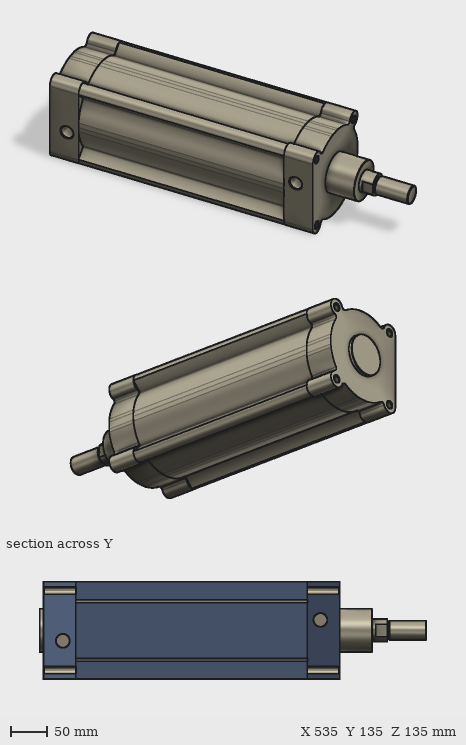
import cadquery as cq
import math


TOTAL_LENGTH = 535.0
CAP_LENGTH = 45.0
BARREL_LENGTH = 320.0
REAR_BOSS_LENGTH = 5.5
FRONT_BOSS_LENGTH = CAP_LENGTH

REAR_CAP_X = REAR_BOSS_LENGTH
BARREL_X = REAR_CAP_X + CAP_LENGTH
FRONT_CAP_X = BARREL_X + BARREL_LENGTH

WIDTH = 135.0
HALF_WIDTH = WIDTH / 2
SIDE_FLAT_HALF_WIDTH = 5.5
SIDE_BLEND_RADIUS = 32.0
CAP_ROUND_RADIUS = SIDE_BLEND_RADIUS + math.hypot(
    SIDE_FLAT_HALF_WIDTH, HALF_WIDTH - SIDE_BLEND_RADIUS
)

BOLT_OFFSET = 55.0
LUG_RADIUS = HALF_WIDTH - BOLT_OFFSET
NECK_RADIUS = 4.55
BOLT_HOLE_DIAMETER = 9.5
BOLT_HOLE_CHAMFER = 1.0
CHAMFER_ANGLE = 90
BOSS_DIAMETER = 60.0
BOSS_CHAMFER = 0.5
PORT_DIAMETER = 18.5
PORT_CHAMFER = 1.0
PORT_DEPTH = 27.0
PORT_INSET = 27.0
PORT_OFFSET = 14.5

BARREL_RADIUS = HALF_WIDTH
RIDGE_HALF_WIDTH = 7.2
RAIL_RADIUS = 13.0
RAIL_FOOT_RADIUS = 1.0

ROD_DIAMETER = 32.0
THREAD_DIAMETER = 27.0
THREAD_LENGTH = 54.0
THREAD_CHAMFER = 1.0
UNDERCUT_LENGTH = 1.5
UNDERCUT_DEPTH = 1.5
WRENCH_WIDTH = THREAD_DIAMETER
WRENCH_LENGTH = 16.0

SHOULDER_X = TOTAL_LENGTH - THREAD_LENGTH

AXIS = (0, 0)


def toward(start, end, distance):
    """Point at the given distance from start, on the line to end."""
    share = distance / math.dist(start, end)
    return (start[0] + (end[0] - start[0]) * share, start[1] + (end[1] - start[1]) * share)


def arc_middle(center, start, end):
    """Middle point of the shorter arc from start to end."""
    chord_middle = ((start[0] + end[0]) / 2, (start[1] + end[1]) / 2)
    return toward(center, chord_middle, math.dist(center, start))


def mirrored(point):
    """Mirror a (y, z) point in the diagonal through the +Y +Z corner."""
    return (point[1], point[0])


def turned(point, quarters):
    """Turn a (y, z) point about the axis by quarter turns, from +Z toward +Y."""
    for _ in range(quarters):
        point = (point[1], -point[0])
    return point


def four_sided_outline(start, segments):
    """Closed outline that repeats the segments of one corner on all four corners.

    A segment is (middle, end) of an arc; a straight line has None as its middle.
    """
    outline = cq.Workplane("YZ").moveTo(*start)
    for quarters in range(4):
        for middle, end in segments:
            if middle is None:
                outline = outline.lineTo(*turned(end, quarters))
            else:
                outline = outline.threePointArc(turned(middle, quarters), turned(end, quarters))
    return outline.close()


def cap_outline():
    """Main round with flattened sides, a round lug on each corner and concave necks between."""
    flat_end = (SIDE_FLAT_HALF_WIDTH, HALF_WIDTH)
    blend_center = (SIDE_FLAT_HALF_WIDTH, HALF_WIDTH - SIDE_BLEND_RADIUS)
    blend_end = toward(AXIS, blend_center, CAP_ROUND_RADIUS)

    lug_center = (BOLT_OFFSET, BOLT_OFFSET)
    lug_distance = math.dist(AXIS, lug_center)
    to_axis = CAP_ROUND_RADIUS + NECK_RADIUS
    to_lug = LUG_RADIUS + NECK_RADIUS
    cos_swing = (to_axis**2 + lug_distance**2 - to_lug**2) / (2 * to_axis * lug_distance)
    neck_angle = math.pi / 4 + math.acos(cos_swing)
    neck_center = (to_axis * math.cos(neck_angle), to_axis * math.sin(neck_angle))
    neck_start = toward(AXIS, neck_center, CAP_ROUND_RADIUS)
    neck_end = toward(lug_center, neck_center, LUG_RADIUS)
    neck_middle = arc_middle(neck_center, neck_start, neck_end)

    blend_middle = arc_middle(blend_center, flat_end, blend_end)
    body_middle = arc_middle(AXIS, blend_end, neck_start)
    lug_tip = toward(AXIS, lug_center, lug_distance + LUG_RADIUS)

    return four_sided_outline(
        (-SIDE_FLAT_HALF_WIDTH, HALF_WIDTH),
        [
            (None, flat_end),
            (blend_middle, blend_end),
            (body_middle, neck_start),
            (neck_middle, neck_end),
            (lug_tip, mirrored(neck_end)),
            (mirrored(neck_middle), mirrored(neck_start)),
            (mirrored(body_middle), mirrored(blend_end)),
            (mirrored(blend_middle), mirrored(flat_end)),
        ],
    )


def make_cap_block():
    """Cap body from X = 0 with its flat mounting side, without boss or holes."""
    block = cap_outline().extrude(CAP_LENGTH)
    mounting_slab = cq.Workplane("XY").box(
        CAP_LENGTH, LUG_RADIUS, 2 * BOLT_OFFSET, centered=(False, False, True)
    )
    return block.union(mounting_slab.translate((0, -HALF_WIDTH, 0)))


def make_boss(length):
    """Round boss from X = 0 with a chamfered end."""
    boss = cq.Workplane("YZ").circle(BOSS_DIAMETER / 2).extrude(length)
    return boss.faces(">X").chamfer(BOSS_CHAMFER)


def cut_bolt_holes(block):
    """Four through holes, chamfered at the outer face of the cap."""
    return (
        block.faces(">X")
        .workplane(origin=(CAP_LENGTH, 0, 0))
        .rect(2 * BOLT_OFFSET, 2 * BOLT_OFFSET, forConstruction=True)
        .vertices()
        .cskHole(BOLT_HOLE_DIAMETER, BOLT_HOLE_DIAMETER + 2 * BOLT_HOLE_CHAMFER, CHAMFER_ANGLE)
    )


def cut_port(block, port_z):
    """Blind air port in the mounting side, chamfered at its mouth."""
    port_x = CAP_LENGTH - PORT_INSET
    port_radius = PORT_DIAMETER / 2
    mouth_radius = port_radius + PORT_CHAMFER
    port = (
        cq.Workplane("XY")
        .polyline(
            [
                (0, 0),
                (mouth_radius, 0),
                (port_radius, PORT_CHAMFER),
                (port_radius, PORT_DEPTH),
                (0, PORT_DEPTH),
            ]
        )
        .close()
        .revolve(360, (0, 0), (0, 1))
    )
    return block.cut(port.translate((port_x, -HALF_WIDTH, port_z)))


def make_cap(boss_length, port_z):
    """Cap with its inner face at X = 0 and its boss toward +X."""
    cap = make_cap_block()
    cap = cut_bolt_holes(cap)
    cap = cut_port(cap, port_z)
    boss = make_boss(boss_length).translate((CAP_LENGTH, 0, 0))
    return cap.union(boss)


def make_rear_cap():
    """Cap facing -X, closed by a short boss."""
    return make_cap(REAR_BOSS_LENGTH, -PORT_OFFSET).mirror("YZ").translate((BARREL_X, 0, 0))


def make_front_cap():
    """Cap facing +X, with a long boss bored for the piston rod."""
    cap = make_cap(FRONT_BOSS_LENGTH, PORT_OFFSET)
    rod_bore = cq.Workplane("YZ").circle(ROD_DIAMETER / 2).extrude(CAP_LENGTH + FRONT_BOSS_LENGTH)
    return cap.cut(rod_bore).translate((FRONT_CAP_X, 0, 0))


def make_barrel():
    """Round profile with a low ridge on each side and a straight-sided rail on each corner."""
    rail_edge = (HALF_WIDTH - RAIL_RADIUS, HALF_WIDTH)
    rail_half_thickness = RAIL_RADIUS / math.sqrt(2)
    foot_angle = math.pi / 4 + math.asin(rail_half_thickness / BARREL_RADIUS)
    rail_foot = (BARREL_RADIUS * math.cos(foot_angle), BARREL_RADIUS * math.sin(foot_angle))
    rail_center = (HALF_WIDTH - RAIL_RADIUS, HALF_WIDTH - RAIL_RADIUS)
    rail_tip = arc_middle(rail_center, rail_edge, mirrored(rail_edge))

    ridge_end = (RIDGE_HALF_WIDTH, math.sqrt(BARREL_RADIUS**2 - RIDGE_HALF_WIDTH**2))
    body_middle = arc_middle(AXIS, ridge_end, rail_foot)

    outline = four_sided_outline(
        (-ridge_end[0], ridge_end[1]),
        [
            (None, (0, BARREL_RADIUS)),
            (None, ridge_end),
            (body_middle, rail_foot),
            (None, rail_edge),
            (rail_tip, mirrored(rail_edge)),
            (None, mirrored(rail_foot)),
            (mirrored(body_middle), mirrored(ridge_end)),
        ],
    )
    barrel = outline.extrude(BARREL_LENGTH)

    for quarters in range(4):
        for foot in (rail_foot, mirrored(rail_foot)):
            foot_edge = cq.NearestToPointSelector((BARREL_LENGTH / 2, *turned(foot, quarters)))
            barrel = barrel.edges(foot_edge).fillet(RAIL_FOOT_RADIUS)
    return barrel.translate((BARREL_X, 0, 0))


def make_rod_blank():
    """Turned rod from the end of the barrel: shoulder, undercut neck and thread."""
    rod_radius = ROD_DIAMETER / 2
    thread_radius = THREAD_DIAMETER / 2
    neck_radius = thread_radius - UNDERCUT_DEPTH
    neck_end_x = SHOULDER_X + UNDERCUT_LENGTH
    return (
        cq.Workplane("XY")
        .polyline(
            [
                (FRONT_CAP_X, 0),
                (FRONT_CAP_X, rod_radius),
                (SHOULDER_X, rod_radius),
                (SHOULDER_X, neck_radius),
                (neck_end_x, neck_radius),
                (neck_end_x + UNDERCUT_DEPTH, thread_radius),
                (TOTAL_LENGTH - THREAD_CHAMFER, thread_radius),
                (TOTAL_LENGTH, thread_radius - THREAD_CHAMFER),
                (TOTAL_LENGTH, 0),
            ]
        )
        .close()
        .revolve(360, (0, 0), (1, 0))
    )


def make_piston_rod():
    """Rod with two wrench flats, facing -Y and +Y, just behind the shoulder."""
    rod = make_rod_blank()
    for side in (-1, 1):
        flat_cut = cq.Workplane("XY").box(WRENCH_LENGTH, ROD_DIAMETER, ROD_DIAMETER)
        flat_y = side * (WRENCH_WIDTH + ROD_DIAMETER) / 2
        rod = rod.cut(flat_cut.translate((SHOULDER_X - WRENCH_LENGTH / 2, flat_y, 0)))
    return rod


rear_cap = make_rear_cap()
barrel = make_barrel()
front_cap = make_front_cap()
piston_rod = make_piston_rod()

result = cq.Compound.makeCompound([rear_cap.val(), barrel.val(), front_cap.val(), piston_rod.val()])